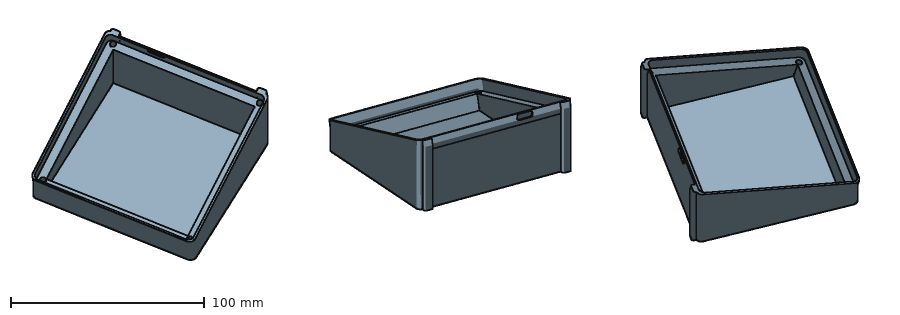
import cadquery as cq
import math

width = 94.0
body_back_y = 87.7
slope_angle = 14.6
body_front_y = 0.1
front_bend_z = 13.2
rim_height = 3.6
front_corner_radius = 3.4
back_corner_radius = 2.8
bend_radius = 9.9
floor_thickness = 3.0

boss_inner_x = 39.8
boss_width = 5.2
boss_back_y = 90.05
boss_corner_radius = 1.1

recess_width = 91.5
recess_front_y = 1.4
recess_back_y = 87.1
recess_corner_radius = 2.8
recess_bend_drop = 1.4
ledge_drop = 1.6
ledge_plane_drop = recess_bend_drop + ledge_drop
clearance = 4.7

cavity_width = 81.8
cavity_front_y = 6.0
cavity_floor_front_y = 8.3
cavity_back_y = 82.7

hole_diameter = 3.2
hole_depth = 7.5
hole_overlap = 0.5
hole_x = 42.4
hole_front_y = 4.8
hole_back_y = 85.4

slot_width = 9.7
slot_height = 3.2
slot_x = -18.05
slot_z = 37.4
slot_start_y = 79.9
slot_length = 14.1

slope = math.radians(slope_angle)
normal = cq.Vector(0, -math.sin(slope), math.cos(slope))
tall = 56.4


def height_at(y, depth_from_bend=0.0):
    """Height of the bend plane, lowered vertically, at a given Y."""
    return front_bend_z - depth_from_bend + y * math.tan(slope)


def below_slope(drop):
    """Large block under a plane parallel to the slope."""
    front, back = -18.8, 112.8
    profile = [
        (front, -tall),
        (back, -tall),
        (back, height_at(back, drop)),
        (front, height_at(front, drop)),
    ]
    return cq.Workplane("YZ").polyline(profile).close().extrude(width, both=True)


def block(x_size, y_front, y_back, x_center=0.0):
    """Upright block standing on the base plane, taller than the part."""
    return (
        cq.Workplane("XY", origin=(x_center, (y_front + y_back) / 2, 0))
        .rect(x_size, y_back - y_front)
        .extrude(tall)
    )


def bent_prism(prism, bend_drop, tilted_height):
    """Trim an upright prism parallel to the slope, then continue it along the slope normal."""
    lower = prism.intersect(below_slope(bend_drop))
    top_face = lower.faces(cq.selectors.DirectionMinMaxSelector(normal, True)).val()
    upper = cq.Solid.extrudeLinear(top_face.outerWire(), [], normal * tilted_height)
    return lower.union(cq.Workplane(upper))


def side_profile(y_back, back_leans):
    """Side outline: the front always leans over above the bend, the back optionally."""
    lean = normal * rim_height
    front_z = height_at(body_front_y)
    back_z = height_at(y_back)
    blend_reach = bend_radius * math.tan(slope / 2)
    blend_middle = (
        body_front_y - bend_radius * (1 - math.cos(slope / 2)),
        front_z - blend_reach + bend_radius * math.sin(slope / 2),
    )
    blend_end = (
        body_front_y + normal.y * blend_reach,
        front_z + normal.z * blend_reach,
    )
    outline = (
        cq.Workplane("YZ")
        .moveTo(body_front_y, 0)
        .lineTo(body_front_y, front_z - blend_reach)
        .threePointArc(blend_middle, blend_end)
        .lineTo(body_front_y + lean.y, front_z + lean.z)
    )
    if back_leans:
        outline = outline.lineTo(y_back + lean.y, back_z + lean.z).lineTo(y_back, back_z)
    else:
        outline = outline.lineTo(y_back, height_at(y_back, -rim_height / math.cos(slope)))
    return outline.lineTo(y_back, 0).close()


def make_outer():
    body = side_profile(body_back_y, False).extrude(width / 2, both=True)
    body = body.edges("|Z and >Y").fillet(back_corner_radius)
    for side in (-1, 1):
        corner_point = (side * width / 2, body_front_y, front_bend_z / 2)
        corner = body.edges(cq.selectors.NearestToPointSelector(corner_point))
        body = corner.fillet(front_corner_radius)
    span = boss_inner_x + boss_width
    middle = block(2 * span, body_back_y - rim_height, body_back_y)
    body = body.cut(middle.cut(side_profile(body_back_y, True).extrude(span, both=True)))
    for side in (-1, 1):
        boss_x = side * (boss_inner_x + boss_width / 2)
        boss = block(boss_width, body_back_y - back_corner_radius, boss_back_y, boss_x)
        boss = boss.edges("|Z and >Y").fillet(boss_corner_radius)
        body = body.union(bent_prism(boss, 0, rim_height))
    return body


def make_recess():
    prism = block(recess_width, recess_front_y, recess_back_y)
    prism = prism.edges("|Z").fillet(recess_corner_radius)
    recess = bent_prism(prism, recess_bend_drop, rim_height + clearance)
    return recess.cut(below_slope(ledge_plane_drop))


def make_cavity():
    profile = [
        (cavity_floor_front_y, floor_thickness),
        (cavity_back_y, floor_thickness),
        (cavity_back_y, height_at(cavity_back_y, ledge_plane_drop)),
        (cavity_front_y, height_at(cavity_front_y, ledge_plane_drop)),
    ]
    return cq.Workplane("YZ").polyline(profile).close().extrude(cavity_width / 2, both=True)


def make_screw_holes():
    holes = cq.Workplane("XY")
    for x in (-hole_x, hole_x):
        for y in (hole_front_y, hole_back_y):
            mouth = cq.Vector(x, y, height_at(y, ledge_plane_drop))
            start = mouth + normal * hole_overlap
            hole = cq.Solid.makeCylinder(hole_diameter / 2, hole_depth + hole_overlap, start, -normal)
            holes = holes.union(cq.Workplane(hole))
    return holes


def make_cable_slot():
    return (
        cq.Workplane("XZ", origin=(slot_x, slot_start_y, slot_z))
        .slot2D(slot_width, slot_height)
        .extrude(-slot_length)
    )


result = (
    make_outer()
    .cut(make_recess())
    .cut(make_cavity())
    .cut(make_screw_holes())
    .cut(make_cable_slot())
)